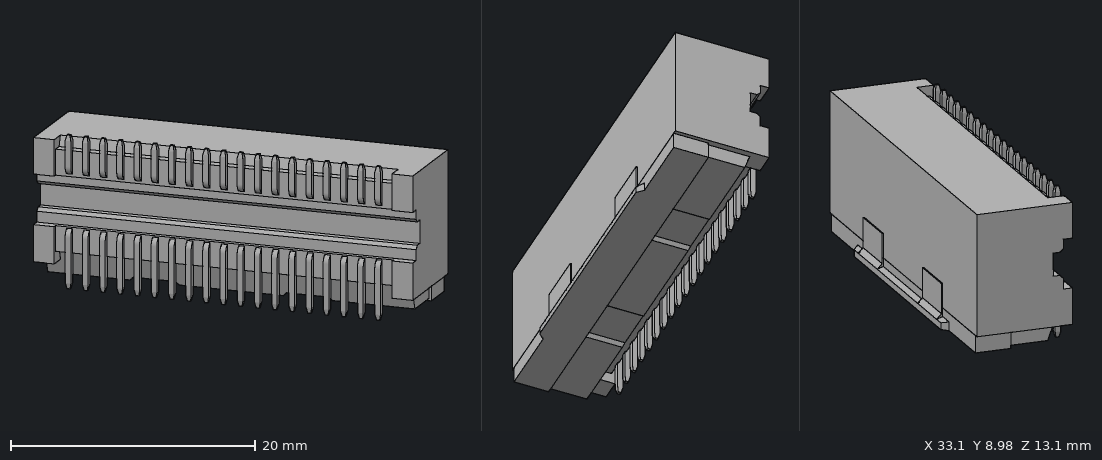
import cadquery as cq
import math


housing_length = 33.1
housing_depth = 8.4
housing_top = 6.05
housing_bottom = -4.55

step_top = 2.95
step_bottom = -1.35
step_depth = 0.8
channel_top = 1.85
channel_bottom = -0.13
channel_depth = 1.7
channel_bevel = 0.3

end_wall = 1.82
recess_half_length = housing_length / 2 - end_wall
recess_depth = 0.33
ledge_depth = 1.15
upper_ledge = 5.15
lower_ledge = -3.55
draft_slope = math.tan(math.radians(19))

lip_half_length = 16.02
lip_bottom = -5.85
lip_back = 5.3

pins_per_row = 19
pin_row_length = 27.0
pin_pitch = pin_row_length / (pins_per_row - 1)
pin_thickness = 0.5
pin_proud = 0.05
pin_tip_length = 0.5
pin_tip_taper = 13
bend_radius = 0.75
upper_bend_start = 3.85
lower_bend_start = -2.15

slider_half_length = 16.22
slider_bottom = -housing_top
tab_half_length = 10.3
tab_reach = 0.53
tab_outer_top = -5.45
arm_inner_x = 4.55
arm_outer_x = 8.85
arm_thickness = 0.1
arm_top = -2.4

notch_top = -5.55


def prism_along_x(points, x_start, x_end):
    """Extrude a (Y, Z) outline from x_start to x_end."""
    return cq.Workplane("YZ", origin=(x_start, 0, 0)).polyline(points).close().extrude(x_end - x_start)


def draft_depth(height_from_ledge):
    """Depth of the drafted face at a height measured outward from its ledge."""
    return ledge_depth + height_from_ledge * draft_slope


def make_block():
    """Housing block with the stepped and bevelled channel in its front."""
    outline = [
        (0, housing_bottom),
        (0, step_bottom),
        (step_depth, step_bottom),
        (step_depth, channel_bottom - channel_bevel),
        (step_depth + channel_bevel, channel_bottom),
        (channel_depth, channel_bottom),
        (channel_depth, channel_top),
        (step_depth + channel_bevel, channel_top),
        (step_depth, channel_top + channel_bevel),
        (step_depth, step_top),
        (0, step_top),
        (0, housing_top),
        (housing_depth, housing_top),
        (housing_depth, housing_bottom),
    ]
    return prism_along_x(outline, -housing_length / 2, housing_length / 2)


def make_recess(step_z, ledge_z, outer_z):
    """Cutter for one pin recess: a shallow face, a ledge, and a drafted face out to the block's edge."""
    outline = [
        (0, step_z),
        (recess_depth, step_z),
        (recess_depth, ledge_z),
        (ledge_depth, ledge_z),
        (draft_depth(abs(outer_z - ledge_z)), outer_z),
        (0, outer_z),
    ]
    return prism_along_x(outline, -recess_half_length, recess_half_length)


def make_lip():
    """Lip below the housing, whose front continues the drafted face of the lower recess."""
    outline = [
        (draft_depth(lower_ledge - housing_bottom), housing_bottom),
        (draft_depth(lower_ledge - lip_bottom), lip_bottom),
        (lip_back, lip_bottom),
        (lip_back, housing_bottom),
    ]
    return prism_along_x(outline, -lip_half_length, lip_half_length)


def make_notch(side):
    """Cutter for a lip notch with 45-degree flanks, on the side of X given by +1 or -1."""
    flank = notch_top - lip_bottom
    outline = [
        (side * arm_inner_x, lip_bottom),
        (side * (arm_inner_x + flank), notch_top),
        (side * (arm_outer_x - flank), notch_top),
        (side * arm_outer_x, lip_bottom),
    ]
    return cq.Workplane("XZ").polyline(outline).close().extrude(-lip_back)


def make_pin(x, bend_start, direction):
    """Pin that bends out of the housing and runs up (direction +1) or down (-1) to a tapered tip."""
    front = -pin_proud
    back = front + pin_thickness
    shoulder = direction * housing_top
    bend_center_y = front + bend_radius
    inner_radius = bend_radius - pin_thickness

    def bend_point(radius, degrees):
        """(Y, Z) on the bend: 0 degrees meets the straight shank, 90 degrees lies inside the housing."""
        angle = math.radians(degrees)
        y = bend_center_y - radius * math.cos(angle)
        z = bend_start - direction * radius * math.sin(angle)
        return (y, z)

    shank = (
        cq.Workplane("YZ", origin=(x - pin_thickness / 2, 0, 0))
        .moveTo(front, shoulder)
        .lineTo(front, bend_start)
        .threePointArc(bend_point(bend_radius, 45), bend_point(bend_radius, 90))
        .lineTo(*bend_point(inner_radius, 90))
        .threePointArc(bend_point(inner_radius, 45), (back, bend_start))
        .lineTo(back, shoulder)
        .close()
        .extrude(pin_thickness)
    )
    tip = (
        cq.Workplane("XY", origin=(x, (front + back) / 2, shoulder))
        .rect(pin_thickness, pin_thickness)
        .extrude(direction * pin_tip_length, taper=pin_tip_taper)
    )
    return shank.union(tip)


def make_housing():
    """Housing with its lip and both rows of pins, as one solid."""
    housing = make_block()
    housing = housing.cut(make_recess(step_top, upper_ledge, housing_top))
    housing = housing.cut(make_recess(step_bottom, lower_ledge, housing_bottom))
    housing = housing.union(make_lip())
    for side in (-1, 1):
        housing = housing.cut(make_notch(side))
    for index in range(pins_per_row):
        x = (index - (pins_per_row - 1) / 2) * pin_pitch
        housing = housing.union(make_pin(x, upper_bend_start, 1))
        housing = housing.union(make_pin(x, lower_bend_start, -1))
    return housing


def make_tab():
    """Finger tab behind the slider, with a drafted top and 45-degree ends."""
    tab_outer_y = housing_depth + tab_reach
    outline = [
        (housing_depth, slider_bottom),
        (tab_outer_y, slider_bottom),
        (tab_outer_y, tab_outer_top),
        (housing_depth, tab_outer_top + tab_reach * draft_slope),
    ]
    plan = [
        (-tab_half_length, housing_depth),
        (tab_half_length, housing_depth),
        (tab_half_length - tab_reach, tab_outer_y),
        (-tab_half_length + tab_reach, tab_outer_y),
    ]
    tab = prism_along_x(outline, -tab_half_length, tab_half_length)
    trapezoid = (
        cq.Workplane("XY", origin=(0, 0, slider_bottom))
        .polyline(plan)
        .close()
        .extrude(housing_top - slider_bottom)
    )
    return tab.intersect(trapezoid)


def make_arm(x_start):
    """Thin arm up the back of the housing, joined to the tab by a 45-degree slope."""
    arm_outer_y = housing_depth + arm_thickness
    outline = [
        (housing_depth, slider_bottom),
        (housing_depth, arm_top),
        (arm_outer_y, arm_top),
        (arm_outer_y, tab_outer_top + tab_reach - arm_thickness),
        (housing_depth + tab_reach, tab_outer_top),
        (housing_depth + tab_reach, slider_bottom),
    ]
    return prism_along_x(outline, x_start, x_start + arm_outer_x - arm_inner_x)


def make_slider():
    """Slider bar behind the lip, with the finger tab and two arms."""
    bar_outline = [
        (lip_back, slider_bottom),
        (housing_depth, slider_bottom),
        (housing_depth, housing_bottom),
        (lip_back, housing_bottom),
    ]
    slider = prism_along_x(bar_outline, -slider_half_length, slider_half_length).union(make_tab())
    for x_start in (-arm_outer_x, arm_inner_x):
        slider = slider.union(make_arm(x_start))
    return slider


housing = make_housing()
slider = make_slider()
result = cq.Compound.makeCompound([housing.solids().val(), slider.solids().val()])